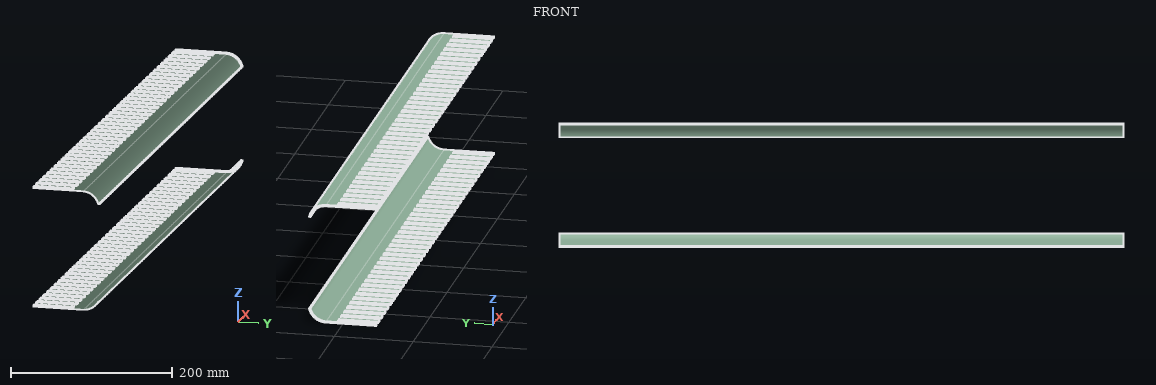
import cadquery as cq
import math

length = 700.0
depth = 85.5
height = 154.0

thickness = 2.0
bend_radius = 22.5
bend_run = 22.0

slot_count = 39
slot_length = 50.0
end_tooth_width = 4.0
slot_width = 2 * end_tooth_width
slot_pitch = (length - 2 * end_tooth_width - slot_width) / (slot_count - 1)

front_y = -depth / 2
back_y = depth / 2
bend_start_y = back_y - bend_run
bottom_z = -height / 2
bend_angle = math.asin(bend_run / bend_radius)


def bend_point(radius, angle):
    """Point on the bend at an angle measured from the end of the flat sheet."""
    return (
        bend_start_y + radius * math.sin(angle),
        bottom_z + bend_radius - radius * math.cos(angle),
    )


def curved_sheet():
    """Flat strip whose back edge curls upward along an arc, extruded along X."""
    inner_radius = bend_radius - thickness
    return (
        cq.Workplane("YZ", origin=(-length / 2, 0, 0))
        .moveTo(front_y, bottom_z)
        .lineTo(bend_start_y, bottom_z)
        .threePointArc(bend_point(bend_radius, bend_angle / 2), bend_point(bend_radius, bend_angle))
        .lineTo(*bend_point(inner_radius, bend_angle))
        .threePointArc(bend_point(inner_radius, bend_angle / 2), bend_point(inner_radius, 0))
        .lineTo(front_y, bottom_z + thickness)
        .close()
        .extrude(length)
    )


def comb_slots():
    """Row of open-ended slots cut in from the front edge."""
    first_center_x = -length / 2 + end_tooth_width + slot_width / 2
    centers = [(first_center_x + i * slot_pitch, front_y + slot_length / 2) for i in range(slot_count)]
    return (
        cq.Workplane("XY", origin=(0, 0, bottom_z))
        .pushPoints(centers)
        .rect(slot_width, slot_length)
        .extrude(thickness)
    )


lower_comb = curved_sheet().cut(comb_slots())
upper_comb = lower_comb.mirror("XY")

result = cq.Compound.makeCompound([lower_comb.val(), upper_comb.val()])